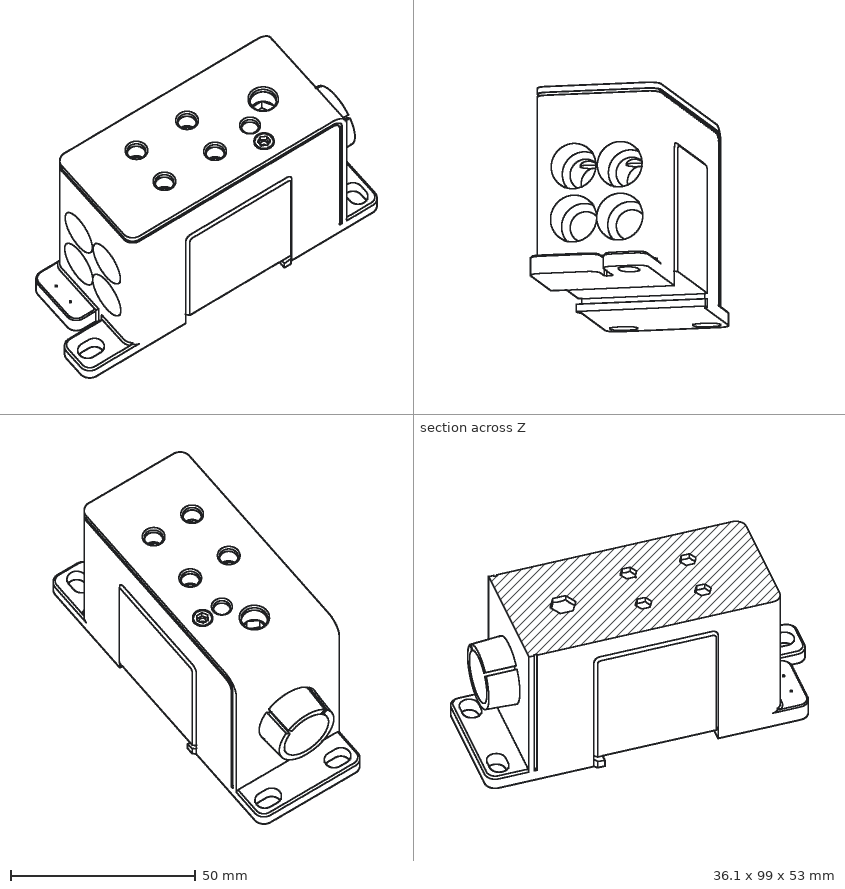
import cadquery as cq
import math

NEAR_FULL = 0.99

BODY_WIDTH = 34.5
HALF_WIDTH = BODY_WIDTH / 2
HEIGHT = 53.0
TOTAL_LENGTH = 99.0
REAR_END = TOTAL_LENGTH / 2
FRONT_END = -TOTAL_LENGTH / 2
BODY_REAR = 37.8
BODY_FRONT = -35.0
TOP_EDGE_RADIUS = 4.95
FRONT_CORNER_RADIUS = 3.1

COVER_THICKNESS = 1.6
GROOVE_WIDTH = 0.8
GROOVE_DEPTH = 0.4

FOOT_HEIGHT = 4.0
FOOT_CHAMFER = 0.6
FOOT_CORNER_RADIUS = 3.1
FOOT_OVERLAP = 4.95
BASE_BEVEL = 0.6
FIXING_FOOT_INNER_X = 4.7
LABEL_FOOT_HEIGHT = 5.1
LABEL_FOOT_CHAMFER = 0.4
LABEL_FOOT_INNER_X = 2.3
LABEL_FOOT_FRONT = -43.1
FOOT_GAP_CENTER = (LABEL_FOOT_INNER_X + FIXING_FOOT_INNER_X) / 2
DIMPLE_XS = (-10.7, -4.2)
DIMPLE_Y = -39.5
DIMPLE_DIAMETER = 0.5
DIMPLE_DEPTH = 0.3
SLOT_LENGTH = 7.6
SLOT_WIDTH = 5.3
REAR_SLOT_X = 11.6
REAR_SLOT_Y = 44.8
FRONT_SLOT_X = 11.1
FRONT_SLOT_Y = -43.8

PAD_THICKNESS = 0.8
PAD_REAR = 19.2
PAD_FRONT = -16.3
PAD_TOP = 39.7
PAD_CORNER_RADIUS = 1.8
CHANNEL_HEIGHT = 4.0
CLIP_LENGTH = 3.0
CLIP_HEIGHT = 2.6
CLIP_TIP_HEIGHT = 2.0
LATCH_WIDTH = 19.8
LATCH_REACH = 2.6
LATCH_TOP = 3.1
LATCH_TIP_HEIGHT = 2.3

COLLAR_BASE_DIAMETER = 19.1
COLLAR_END_DIAMETER = 18.2
COLLAR_END = 46.5
COLLAR_Z = 25.9
COLLAR_BORE_DIAMETER = 14.8
COLLAR_BORE_END = 13.9
COLLAR_SLIT_WIDTH = 1.0
COLLAR_SLIT_ANGLE = 45.0

OUTLET_X = 6.4
UPPER_OUTLET_Z = 30.7
LOWER_OUTLET_Z = 16.2
UPPER_MOUTH_DIAMETER = 12.5
LOWER_MOUTH_DIAMETER = 12.9
MOUTH_TAPER = 0.25
MOUTH_LENGTH = 11.9
OUTLET_BORE_DIAMETER = 8.5
DRILL_POINT_ANGLE = 118.0
CLAMP_SCREW_DIAMETER = 5.4
CLAMP_SCREW_INSET = 1.1
UPPER_OUTLET_DEPTH = 26.7
LOWER_OUTLET_DEPTH = 43.6

MAIN_SCREW_Y = 22.3
FRONT_SCREW_Y = -15.6
REAR_SCREW_Y = 1.4
SCREW_WELL_DEPTH = 5.9
WELL_STEP = 0.1
WELL_CHAMFER = 0.5
MAIN_WELL_DIAMETER = 7.2
MAIN_HEX_FLATS = 6.2
SMALL_WELL_DIAMETER = 5.1
SMALL_HEX_FLATS = 4.0
HEX_DEPTH = 3.0

MARK_Y = 14.2
LABEL_WELL_X = 5.0
LABEL_WELL_DIAMETER = 4.7
LABEL_WELL_DEPTH = COVER_THICKNESS
PLUG_X = 11.5
PLUG_RING_OUTER = 5.4
PLUG_RING_INNER = 5.0
PLUG_RING_DEPTH = 0.5
PLUG_HEX_FLATS = 3.0
PLUG_HEX_DEPTH = 1.5
PLUG_HOLE_DIAMETER = 2.0
PLUG_HOLE_DEPTH = 1.5


def box(x0, x1, y0, y1, z0, z1):
    """Axis-aligned block given by its limits."""
    size = (x1 - x0, y1 - y0, z1 - z0)
    return cq.Workplane("XY").box(*size, centered=False).translate((x0, y0, z0))


def profile_block(inset):
    """Housing block with its rear and top faces moved inwards by inset."""
    block = box(-HALF_WIDTH, HALF_WIDTH, BODY_FRONT, BODY_REAR - inset, 0, HEIGHT - inset)
    block = block.edges("|X and >Y and >Z").fillet(TOP_EDGE_RADIUS - inset)
    return block.edges("|Z and <Y").fillet(FRONT_CORNER_RADIUS)


def cover_groove():
    """Shallow band that separates the cover from the sides and the front."""
    outer = profile_block(COVER_THICKNESS)
    inner = profile_block(COVER_THICKNESS + GROOVE_WIDTH)
    core_half_width = HALF_WIDTH - GROOVE_DEPTH
    core = box(-core_half_width, core_half_width, BODY_FRONT + GROOVE_DEPTH, BODY_REAR, 0, HEIGHT)
    core = core.edges("|Z and <Y").fillet(FRONT_CORNER_RADIUS - GROOVE_DEPTH)
    below = box(-HALF_WIDTH, HALF_WIDTH, BODY_FRONT, BODY_REAR, 0, FOOT_HEIGHT - FOOT_CHAMFER)
    return outer.cut(inner).cut(core).cut(below)


def foot(x0, x1, y0, y1, height, chamfer, corners):
    """Flat foot with rounded outer corners and a bevelled top edge."""
    plate = box(x0, x1, y0, y1, 0, height)
    plate = plate.edges(corners).fillet(FOOT_CORNER_RADIUS)
    return plate.faces(">Z").chamfer(chamfer)


def base_skirt(x0, x1, height):
    """Sloped strip around the foot of the housing front, where it meets a front foot."""
    width = BODY_WIDTH + 2 * BASE_BEVEL
    length = BODY_REAR - BODY_FRONT + 2 * BASE_BEVEL
    skirt = cq.Workplane("XY").rect(width, length).extrude(BASE_BEVEL)
    skirt = skirt.edges("|Z").fillet(FRONT_CORNER_RADIUS + BASE_BEVEL)
    skirt = skirt.faces(">Z").chamfer(BASE_BEVEL * NEAR_FULL)
    skirt = skirt.translate((0, (BODY_REAR + BODY_FRONT) / 2, height))
    reach = box(x0, x1, FRONT_END, BODY_FRONT + FRONT_CORNER_RADIUS, 0, HEIGHT)
    return skirt.intersect(reach)


def inner_side_bevel(inner_x, height):
    """Sloped strip on the housing front that follows the inner side of a front foot."""
    x0 = inner_x - BASE_BEVEL
    x1 = inner_x + BASE_BEVEL
    block = box(x0, x1, BODY_FRONT - BASE_BEVEL, BODY_FRONT, 0, height + BASE_BEVEL)
    outer_edge = "<X" if inner_x < FOOT_GAP_CENTER else ">X"
    block = block.faces("<Y").edges(f"not(<Z or {outer_edge})")
    return block.chamfer(BASE_BEVEL * NEAR_FULL)


def slot(x, y, angle):
    """Fixing slot through a foot."""
    return (
        cq.Workplane("XY")
        .center(x, y)
        .slot2D(SLOT_LENGTH, SLOT_WIDTH, angle)
        .extrude(FOOT_HEIGHT)
    )


def feet():
    """Rear foot with two slots, fixing foot with one slot, and the taller label foot."""
    inner_y = BODY_REAR - FOOT_OVERLAP
    rear = foot(-HALF_WIDTH, HALF_WIDTH, inner_y, REAR_END, FOOT_HEIGHT, FOOT_CHAMFER, "|Z and >Y")
    for x in (-REAR_SLOT_X, REAR_SLOT_X):
        rear = rear.cut(slot(x, REAR_SLOT_Y, 0))

    inner_y = BODY_FRONT + FOOT_OVERLAP
    fixing = foot(
        FIXING_FOOT_INNER_X, HALF_WIDTH, FRONT_END, inner_y,
        FOOT_HEIGHT, FOOT_CHAMFER, "|Z and <Y",
    )
    fixing = fixing.cut(slot(FRONT_SLOT_X, FRONT_SLOT_Y, 90))
    fixing = fixing.union(
        base_skirt(FIXING_FOOT_INNER_X + BASE_BEVEL, HALF_WIDTH - FOOT_CHAMFER, FOOT_HEIGHT)
    )
    fixing = fixing.union(inner_side_bevel(FIXING_FOOT_INNER_X, FOOT_HEIGHT))

    label = foot(
        -HALF_WIDTH, LABEL_FOOT_INNER_X, LABEL_FOOT_FRONT, inner_y,
        LABEL_FOOT_HEIGHT, LABEL_FOOT_CHAMFER, "|Z and <Y",
    )
    label = label.union(
        base_skirt(LABEL_FOOT_CHAMFER - HALF_WIDTH, LABEL_FOOT_INNER_X - BASE_BEVEL, LABEL_FOOT_HEIGHT)
    )
    label = label.union(inner_side_bevel(LABEL_FOOT_INNER_X, LABEL_FOOT_HEIGHT))
    for x in DIMPLE_XS:
        dimple = cq.Workplane("XY").circle(DIMPLE_DIAMETER / 2).extrude(-DIMPLE_DEPTH)
        label = label.cut(dimple.translate((x, DIMPLE_Y, LABEL_FOOT_HEIGHT)))
    return rear.union(fixing).union(label)


def side_pad(side):
    """Raised panel on one side of the housing, bevelled all round except its lower edge."""
    length = PAD_REAR - PAD_FRONT
    outline = cq.Workplane("YZ").rect(length, 2 * PAD_TOP).extrude(PAD_THICKNESS)
    outline = outline.edges("|X").fillet(PAD_CORNER_RADIUS)
    outline = outline.faces(">X").chamfer(PAD_THICKNESS * NEAR_FULL)
    outline = outline.translate((HALF_WIDTH, (PAD_REAR + PAD_FRONT) / 2, 0))
    outline = outline.intersect(box(0, BODY_WIDTH, PAD_FRONT, PAD_REAR, 0, HEIGHT))
    return outline if side > 0 else outline.mirror("YZ")


def rail_clip():
    """Fixed hook at the rear of the rail channel, as wide as the two side pads."""
    half_width = HALF_WIDTH + PAD_THICKNESS
    clip_front = PAD_REAR - CLIP_LENGTH
    hook = (
        cq.Workplane("YZ")
        .moveTo(PAD_REAR, 0)
        .lineTo(clip_front, 0)
        .lineTo(clip_front, CLIP_TIP_HEIGHT)
        .lineTo(PAD_REAR, CLIP_HEIGHT)
        .close()
        .extrude(half_width, both=True)
    )
    return hook.edges("|Z and >Y").chamfer(PAD_THICKNESS)


def rail_latch():
    """Pointed nose at the front of the rail channel."""
    return (
        cq.Workplane("YZ")
        .moveTo(PAD_FRONT, 0)
        .lineTo(PAD_FRONT + LATCH_REACH, LATCH_TIP_HEIGHT)
        .lineTo(PAD_FRONT, LATCH_TOP)
        .close()
        .extrude(LATCH_WIDTH / 2, both=True)
    )


def rear_cylinder(start_diameter, end_diameter, start_y, end_y):
    """Round or slightly tapered body on the collar axis."""
    return (
        cq.Workplane("XY")
        .moveTo(0, start_y)
        .lineTo(start_diameter / 2, start_y)
        .lineTo(end_diameter / 2, end_y)
        .lineTo(0, end_y)
        .close()
        .revolve(360, (0, 0, 0), (0, 1, 0))
        .translate((0, 0, COLLAR_Z))
    )


def collar_slits():
    """Two narrow slits through the upper half of the collar wall."""
    radius = COLLAR_BASE_DIAMETER / 2
    half_slit = COLLAR_SLIT_WIDTH / 2
    blade = box(-half_slit, half_slit, BODY_REAR, COLLAR_END, 0, radius)
    slits = cq.Workplane("XY")
    for angle in (-COLLAR_SLIT_ANGLE, COLLAR_SLIT_ANGLE):
        slits = slits.add(blade.rotate((0, 0, 0), (0, 1, 0), angle).translate((0, 0, COLLAR_Z)))
    return slits.combine()


def cone_depth(diameter):
    """Depth of the cone left by a drill."""
    return diameter / 2 / math.tan(math.radians(DRILL_POINT_ANGLE / 2))


def outlet(x, z, mouth_diameter, depth, screw_y):
    """Wide cable entry, 45 degree step down to a drilled bore, and the end of its clamping screw."""
    mouth = mouth_diameter / 2
    throat = mouth - MOUTH_TAPER
    bore = OUTLET_BORE_DIAMETER / 2
    cavity = (
        cq.Workplane("XY")
        .moveTo(0, 0)
        .lineTo(mouth, 0)
        .lineTo(throat, MOUTH_LENGTH)
        .lineTo(bore, MOUTH_LENGTH + throat - bore)
        .lineTo(bore, depth)
        .lineTo(0, depth + cone_depth(OUTLET_BORE_DIAMETER))
        .close()
        .revolve(360, (0, 0, 0), (0, 1, 0))
        .translate((x, BODY_FRONT, z))
    )
    screw = (
        cq.Workplane("XY")
        .center(x, screw_y)
        .circle(CLAMP_SCREW_DIAMETER / 2)
        .extrude(OUTLET_BORE_DIAMETER)
        .translate((0, 0, z + bore - CLAMP_SCREW_INSET))
    )
    return cavity.cut(screw)


def well(x, y, diameter, depth):
    """Round recess in the top face with a bevelled rim."""
    radius = diameter / 2
    return (
        cq.Workplane("XZ")
        .lineTo(radius + WELL_CHAMFER, 0)
        .lineTo(radius, -WELL_CHAMFER)
        .lineTo(radius, -depth)
        .lineTo(0, -depth)
        .close()
        .revolve(360, (0, 0, 0), (0, 1, 0))
        .translate((x, y, HEIGHT))
    )


def hexagon(x, y, flats, top, depth, turn):
    """Hexagon socket, measured across its flats, that goes down from the given level."""
    corners = flats / math.cos(math.pi / 6)
    prism = cq.Workplane("XY").polygon(6, corners).extrude(-depth)
    return prism.rotate((0, 0, 0), (0, 0, 1), turn).translate((x, y, top))


def screw_well(x, y, diameter, flats):
    """Well, slightly narrower below the cover, with a hexagon socket that ends in a cone."""
    socket_top = HEIGHT - SCREW_WELL_DEPTH
    corner_radius = flats / 2 / math.cos(math.pi / 6)
    cone_height = cone_depth(2 * corner_radius)
    straight = cq.Workplane("XY").circle(corner_radius).extrude(HEX_DEPTH)
    cone = cq.Workplane("XZ").lineTo(corner_radius, 0).lineTo(0, -cone_height).close()
    cone = cone.revolve(360, (0, 0, 0), (0, 1, 0))
    drilled = straight.union(cone).translate((x, y, socket_top - HEX_DEPTH))
    socket = hexagon(x, y, flats, socket_top, HEX_DEPTH + cone_height, 30).intersect(drilled)
    shaft = cq.Workplane("XY").circle((diameter - WELL_STEP) / 2).extrude(SCREW_WELL_DEPTH)
    shaft = shaft.translate((x, y, socket_top))
    return well(x, y, diameter, COVER_THICKNESS).union(shaft).union(socket)


def plug_marks():
    """Ring groove and hexagon socket of the small plug in the top face."""
    ring = cq.Workplane("XY").circle(PLUG_RING_OUTER / 2).circle(PLUG_RING_INNER / 2)
    ring = ring.extrude(-PLUG_RING_DEPTH).translate((PLUG_X, MARK_Y, HEIGHT))
    socket = hexagon(PLUG_X, MARK_Y, PLUG_HEX_FLATS, HEIGHT, PLUG_HEX_DEPTH, 0)
    hole = cq.Workplane("XY").circle(PLUG_HOLE_DIAMETER / 2).extrude(-PLUG_HEX_DEPTH - PLUG_HOLE_DEPTH)
    return ring.union(socket.union(hole.translate((PLUG_X, MARK_Y, HEIGHT))))


result = profile_block(0).cut(cover_groove()).union(feet())
for side in (-1, 1):
    result = result.union(side_pad(side))

pad_half_width = HALF_WIDTH + PAD_THICKNESS
result = result.cut(box(-pad_half_width, pad_half_width, PAD_FRONT, PAD_REAR, 0, CHANNEL_HEIGHT))
result = result.union(rail_clip()).union(rail_latch())

collar = rear_cylinder(COLLAR_BASE_DIAMETER, COLLAR_END_DIAMETER, BODY_REAR, COLLAR_END)
result = result.union(collar.cut(collar_slits()))
bore = rear_cylinder(COLLAR_BORE_DIAMETER, COLLAR_BORE_DIAMETER, COLLAR_BORE_END, COLLAR_END)
result = result.cut(bore)

for x in (-OUTLET_X, OUTLET_X):
    upper = outlet(x, UPPER_OUTLET_Z, UPPER_MOUTH_DIAMETER, UPPER_OUTLET_DEPTH, FRONT_SCREW_Y)
    lower = outlet(x, LOWER_OUTLET_Z, LOWER_MOUTH_DIAMETER, LOWER_OUTLET_DEPTH, REAR_SCREW_Y)
    result = result.cut(upper).cut(lower)
    for y in (FRONT_SCREW_Y, REAR_SCREW_Y):
        result = result.cut(screw_well(x, y, SMALL_WELL_DIAMETER, SMALL_HEX_FLATS))

result = result.cut(screw_well(0, MAIN_SCREW_Y, MAIN_WELL_DIAMETER, MAIN_HEX_FLATS))
result = result.cut(well(LABEL_WELL_X, MARK_Y, LABEL_WELL_DIAMETER, LABEL_WELL_DEPTH))
result = result.cut(plug_marks())